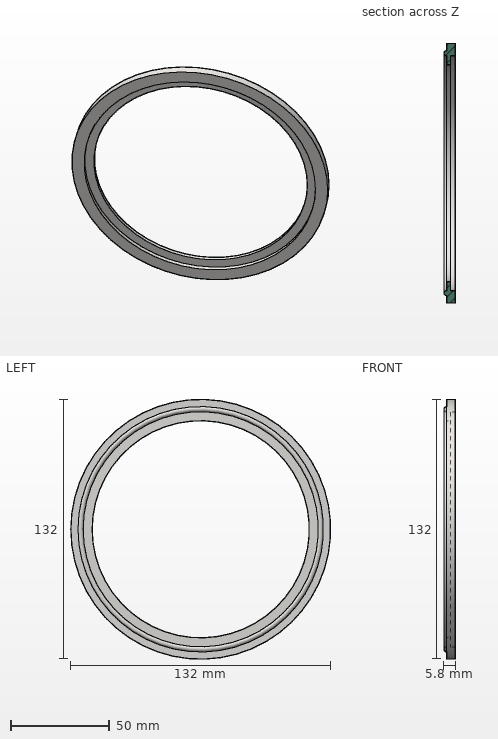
import cadquery as cq

outer_radius = 66.0
bore_radius = 55.0
total_thickness = 5.8

bead_height = 1.5
bead_radius = 1.3
bead_center_radius = 61.0

lip_thickness = 2.1
lip_rise = 0.08

bead_outer_radius = bead_center_radius + bead_radius
bead_inner_radius = bead_center_radius - bead_radius
recess_radius = bead_inner_radius

bead_crest_x = -total_thickness / 2
bead_wall_x = bead_crest_x + bead_radius
front_face_x = bead_crest_x + bead_height
back_face_x = total_thickness / 2
lip_front_x = front_face_x - lip_rise
lip_back_x = lip_front_x + lip_thickness

section = (
    cq.Workplane("XY")
    .moveTo(back_face_x, recess_radius)
    .lineTo(back_face_x, outer_radius)
    .lineTo(front_face_x, outer_radius)
    .lineTo(front_face_x, bead_outer_radius)
    .lineTo(bead_wall_x, bead_outer_radius)
    .threePointArc(
        (bead_crest_x, bead_center_radius),
        (bead_wall_x, bead_inner_radius),
    )
    .lineTo(front_face_x, bead_inner_radius)
    .lineTo(lip_front_x, bore_radius)
    .lineTo(lip_back_x, bore_radius)
    .lineTo(lip_back_x, recess_radius)
    .close()
)

result = section.revolve(360, (0, 0, 0), (1, 0, 0))